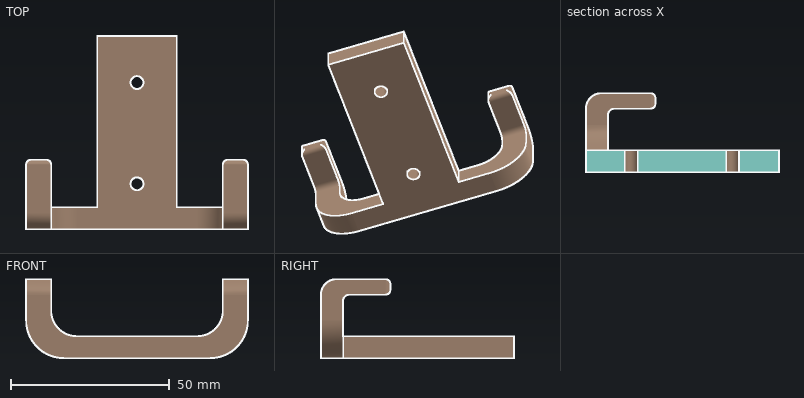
import cadquery as cq

width = 70.0
depth = 61.0
height = 25.0

thickness = 7.0
plate_width = 25.2
hole_diameter = 4.0
hole_spacing = 31.9
rear_hole_inset = 14.7

arm_width = 8.0
outer_bend_radius = 12.0
inner_bend_radius = 8.0
hook_reach = 22.0
finger_height = 5.0
finger_outer_radius = 5.0
finger_inner_radius = 2.0
tip_radius = 1.6


def box(x_size, y_size, z_size):
    """Block centred on X, starting at the front face and the underside."""
    return cq.Workplane("XY").box(x_size, y_size, z_size, centered=(True, False, False))


def u_profile():
    """U-shaped bar with both fingers, blocked out to the full hook reach."""
    outer = box(width, hook_reach, height).edges("|Y and <Z").fillet(outer_bend_radius)
    opening = (
        box(width - 2 * arm_width, hook_reach, height)
        .edges("|Y and <Z")
        .fillet(inner_bend_radius)
        .translate((0, 0, thickness))
    )
    return outer.cut(opening)


def hook_side_profile():
    """Upright with a finger bent towards the rear, extruded over the full width."""
    blank = box(width, hook_reach, height).edges("|X and >Z and <Y").fillet(finger_outer_radius)
    under_finger = (
        box(width, hook_reach, height - finger_height)
        .edges("|X and >Z and <Y")
        .fillet(finger_inner_radius)
        .translate((0, thickness, 0))
    )
    return blank.cut(under_finger)


def base_plate():
    """Flat plate with two mounting holes on its centre line."""
    rear_hole_y = depth - rear_hole_inset
    hole_points = [(0, rear_hole_y), (0, rear_hole_y - hole_spacing)]
    holes = cq.Workplane("XY").pushPoints(hole_points).circle(hole_diameter / 2).extrude(thickness)
    return box(plate_width, depth, thickness).cut(holes)


hooks = u_profile().intersect(hook_side_profile())
hooks = hooks.faces(">Y").edges().fillet(tip_radius)

result = hooks.union(base_plate())